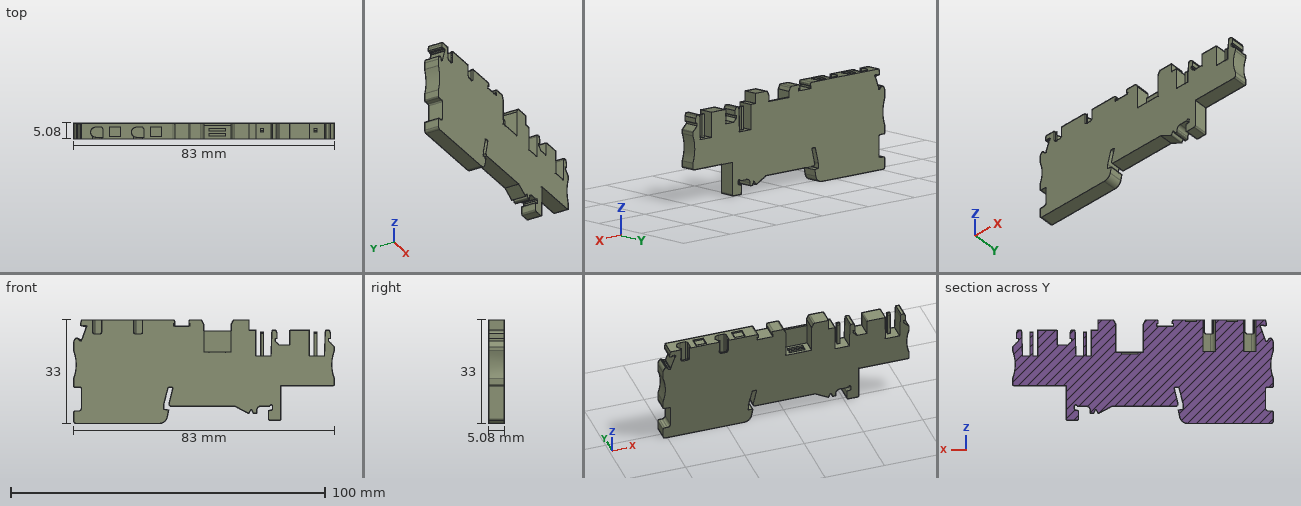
import cadquery as cq
import math

length = 83.0
height = 33.0
thickness = 5.08
front_y = -thickness / 2
back_y = thickness / 2
skin = 0.25

step_x = 55.85
plug_top = 29.7
plug_pitch = 17.0
contact_floor = 21.5
contact_left = 58.0
bridge_floor = 25.0

body_underside = 5.5
tail_underside = 12.0
foot_left = 62.0
foot_right = 66.0
foot_bottom = 1.0

grip_center_z = 18.75
grip_chord = 8.9
grip_depth = 0.8

notch_left = 32.2
notch_right = 36.65
notch_floor = 31.0
relief_width = 0.4
relief_height = 0.8

shaft_left = 41.45
shaft_right = 50.1
shaft_floor = 22.75
shaft_flare_z = 31.5
shaft_flare = 0.75
top_rounding = 0.6
shaft_wall_top = 29.5
shaft_wall = 0.75
bridge_slot_left = 43.1
bridge_slot_length = 5.2
bridge_slot_width = 0.85
bridge_slot_centers_y = (0.44, -1.09)
bridge_slot_depth = 0.6

entry_pitch = 13.0
entry_count = 2
entry_left = 5.4
entry_right = 9.4
entry_radius = 1.6
entry_center_y = -0.33
entry_corner = 0.5
entry_depth = 10.0
entry_slot_left = 6.0
entry_slot_width = 3.0
entry_slot_floor = 28.5
entry_slot_corner = 0.8
entry_slot_depth = 0.7
test_left = 11.5
test_length = 3.4
test_width = 3.0
test_center_y = -0.21
test_depth = 0.5

pin_size = 1.0
pin_center_x = 60.0
pin_center_y = 0.3
pin_top = 29.1
pin_chamfer = 0.4


def rounded_outline(corners):
    """Closed XZ wire from (x, z, corner radius) triples; radius 0 keeps a corner sharp."""
    stretches = []
    for i, (x, z, radius) in enumerate(corners):
        corner = cq.Vector(x, z)
        if radius == 0:
            stretches.append((corner, None, corner))
            continue
        before = cq.Vector(*corners[i - 1][:2]) - corner
        after = cq.Vector(*corners[(i + 1) % len(corners)][:2]) - corner
        half_angle = before.getAngle(after) / 2
        setback = radius / math.tan(half_angle)
        bisector = (before.normalized() + after.normalized()).normalized()
        middle = corner + bisector * (radius / math.sin(half_angle) - radius)
        start = corner + before.normalized() * setback
        end = corner + after.normalized() * setback
        stretches.append((start, middle, end))
    outline = cq.Workplane("XZ", origin=(0, back_y, 0)).moveTo(*stretches[-1][2].toTuple()[:2])
    for start, middle, end in stretches:
        outline = outline.lineTo(*start.toTuple()[:2])
        if middle is not None:
            outline = outline.threePointArc(middle.toTuple()[:2], end.toTuple()[:2])
    return outline.close()


def block(x_min, x_max, y_min, y_max, z_min, z_max):
    """Box given by its limits."""
    size = (x_max - x_min, y_max - y_min, z_max - z_min)
    return cq.Workplane("XY").box(*size, centered=False).translate((x_min, y_min, z_min))


def latch_slot(shift):
    """Contact slot and the latch finger on its right, moved along X by shift."""
    points = [
        (contact_left, plug_top, 0),
        (contact_left, contact_floor, 0),
        (62.8, contact_floor, 0),
        (63.05, 29.0, 0),
        (63.25, plug_top, 0),
        (64.4, plug_top, 0.3),
        (64.8, 28.7, 0),
        (64.8, 27.0, 0),
        (64.2, 27.0, 0),
        (64.2, 26.2, 0),
    ]
    return [(x + shift, z, radius) for x, z, radius in points]


def body():
    left_end = [
        (0, 0, 0.8),
        (0, 4.0, 0.5),
        (2.5, 4.0, 1.0),
        (2.5, 11.5, 0.4),
        (0, 11.5, 0.4),
        (0, 26.6, 1.9),
        (0.95, 27.25, 0),
        (2.55, 26.6, 0),
        (4.05, 30.7, 0),
        (2.25, 31.2, 0),
        (2.25, 32.0, 0),
        (2.5, height, 0),
    ]
    top_edge = [
        (notch_left, height, top_rounding),
        (notch_left, notch_floor, 0),
        (notch_right, notch_floor, 0),
        (notch_right, height, top_rounding),
        (shaft_left - shaft_flare, height, top_rounding),
        (shaft_left, shaft_flare_z, 0),
        (shaft_left, shaft_floor, 0),
        (shaft_right, shaft_floor, 0),
        (shaft_right, shaft_flare_z, 0),
        (shaft_right + shaft_flare, height, top_rounding),
        (step_x, height, 0),
        (step_x, plug_top, 0),
    ]
    bridge = [
        (65.4, bridge_floor, 0),
        (68.75, bridge_floor, 0),
        (68.75, plug_top, 0.3),
    ]
    right_end = [
        (length, 24.4, 0.4),
        (length, tail_underside, 0.5),
        (foot_right, tail_underside, 0),
        (foot_right, foot_bottom, 0.5),
        (foot_left, foot_bottom, 0.5),
        (foot_left, 4.2, 0.4),
        (63.3, 4.3, 0.4),
        (63.3, 5.6, 0),
        (62.9, 6.0, 0),
        (62.3, body_underside, 0),
    ]
    underside = [
        (58.3, body_underside, 1.3),
        (58.3, 3.2, 0.2),
        (57.2, 3.2, 0.3),
        (56.55, 4.6, 0.15),
        (55.75, 3.15, 0.2),
        (51.3, body_underside, 0),
        (30.8, body_underside, 0),
        (30.3, 6.1, 0),
        (31.6, 11.5, 0.3),
        (30.1, 11.5, 0.3),
        (28.75, 6.2, 0.8),
        (28.75, 4.55, 0),
        (30.3, 4.3, 0),
        (29.4, 0, 2.6),
    ]
    outline = left_end + top_edge + latch_slot(0) + bridge + latch_slot(plug_pitch) + right_end + underside
    return rounded_outline(outline).extrude(thickness)


def grip_hollows():
    """Two large cylinders that leave the shallow hollows in the end faces."""
    radius = ((grip_chord / 2) ** 2 + grip_depth ** 2) / (2 * grip_depth)
    offset = radius - grip_depth
    centers = [(-offset, grip_center_z), (length + offset, grip_center_z)]
    return cq.Workplane("XZ", origin=(0, back_y, 0)).pushPoints(centers).circle(radius).extrude(thickness)


def relief_grooves():
    """Small corner reliefs, open to the front and closed by a thin skin at the back."""
    latch_upper = [(2.9, 31.0), (3.2, 31.25), (3.9, 31.25), (4.3, 30.95), (4.05, 30.6)]
    latch_lower = [(1.3, 27.1), (2.0, 26.25), (2.45, 26.25), (2.6, 26.8)]
    plane = cq.Workplane("XZ", origin=(0, back_y - skin, 0))
    depth = thickness - skin
    notch = block(
        notch_left - relief_width, notch_right + relief_width,
        front_y, back_y - skin,
        notch_floor, notch_floor + relief_height,
    )
    upper = plane.polyline(latch_upper).close().extrude(depth)
    lower = plane.polyline(latch_lower).close().extrude(depth)
    return notch.union(upper).union(lower)


def shaft_back_wall():
    return block(shaft_left, shaft_right, back_y - shaft_wall, back_y, shaft_floor, shaft_wall_top)


def bridge_slots():
    center_x = bridge_slot_left + bridge_slot_length / 2
    centers = [(center_x, y) for y in bridge_slot_centers_y]
    return (
        cq.Workplane("XY", origin=(0, 0, shaft_floor))
        .pushPoints(centers)
        .rect(bridge_slot_length, bridge_slot_width)
        .extrude(-bridge_slot_depth)
    )


def wire_entry(shift):
    """D-shaped well with a round-bottomed slot through the front wall."""
    y_min = entry_center_y - entry_radius
    y_max = entry_center_y + entry_radius
    arc_x = entry_left + entry_radius
    well = (
        cq.Workplane("XY", origin=(shift, 0, height))
        .moveTo(arc_x, y_max)
        .lineTo(entry_right - entry_corner, y_max)
        .lineTo(entry_right, y_max - entry_corner)
        .lineTo(entry_right, y_min)
        .lineTo(arc_x, y_min)
        .threePointArc((entry_left, entry_center_y), (arc_x, y_max))
        .close()
        .extrude(-entry_depth)
    )
    slot_left = entry_slot_left + shift
    slot = block(
        slot_left, slot_left + entry_slot_width,
        front_y, front_y + entry_slot_depth,
        entry_slot_floor, height,
    )
    return well.union(slot.edges("|Y and <Z").fillet(entry_slot_corner))


def test_opening(shift):
    left = test_left + shift
    return block(
        left, left + test_length,
        test_center_y - test_width / 2, test_center_y + test_width / 2,
        height - test_depth, height,
    )


def contact_pin(shift):
    half = pin_size / 2
    center_x = pin_center_x + shift
    pin = block(
        center_x - half, center_x + half,
        pin_center_y - half, pin_center_y + half,
        contact_floor, pin_top,
    )
    return pin.edges(">Z and <Y").chamfer(pin_chamfer)


result = body().cut(grip_hollows()).cut(relief_grooves())
result = result.union(shaft_back_wall()).cut(bridge_slots())
for entry in range(entry_count):
    entry_shift = entry * entry_pitch
    result = result.cut(wire_entry(entry_shift)).cut(test_opening(entry_shift))
for pin_shift in (0, plug_pitch):
    result = result.union(contact_pin(pin_shift))